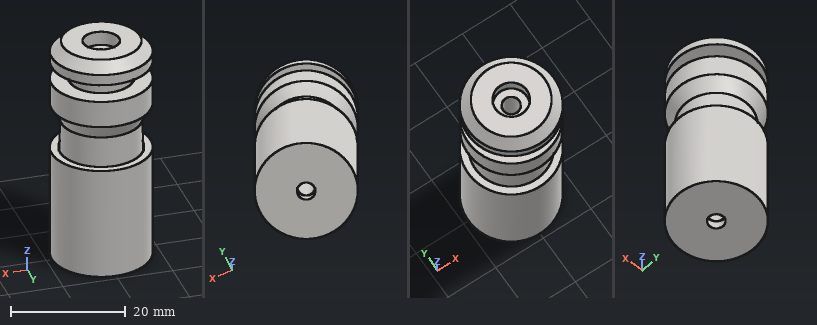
import cadquery as cq

TOTAL_HEIGHT = 42.0
OUTER_DIAMETER = 18.0
OUTER_RADIUS = OUTER_DIAMETER / 2

CUP_HEIGHT = 21.0
CUP_BORE_DIAMETER = 15.0
CUP_FLOOR = 2.0
CUP_HOLE_DIAMETER = 3.2

SLIDER_TUBE_DIAMETER = 14.5
SLIDER_BORE_DIAMETER = 11.5
SLIDER_TOP = 34.7
COLLAR_HEIGHT = 5.0
COLLAR_TAPER_HEIGHT = 3.0
COLLAR_TAPER_HOLLOW = 0.1

STEM_DIAMETER = 11.0
FLANGE_HEIGHT = 4.0
FLANGE_CHAMFER = 1.97
SCREW_HOLE_DIAMETER = 3.3
SCREW_HEAD_DIAMETER = 6.5
SCREW_HEAD_DEPTH = 2.6


def cylinder(diameter, bottom, top):
    """Upright cylinder on the part axis between two heights."""
    return cq.Workplane("XY").workplane(offset=bottom).circle(diameter / 2).extrude(top - bottom)


def make_cup():
    """Sleeve closed by a floor that has a screw hole in its centre."""
    body = cylinder(OUTER_DIAMETER, 0, CUP_HEIGHT)
    bore = cylinder(CUP_BORE_DIAMETER, CUP_FLOOR, CUP_HEIGHT)
    screw_hole = cylinder(CUP_HOLE_DIAMETER, 0, CUP_FLOOR)
    return body.cut(bore).cut(screw_hole)


def make_slider():
    """Tube whose collar narrows to the tube along a slightly hollow taper."""
    bore_radius = SLIDER_BORE_DIAMETER / 2
    tube_radius = SLIDER_TUBE_DIAMETER / 2
    collar_bottom = SLIDER_TOP - COLLAR_HEIGHT
    taper_bottom = collar_bottom - COLLAR_TAPER_HEIGHT
    return (
        cq.Workplane("XZ")
        .moveTo(bore_radius, CUP_FLOOR)
        .lineTo(tube_radius, CUP_FLOOR)
        .lineTo(tube_radius, taper_bottom)
        .sagittaArc((OUTER_RADIUS, collar_bottom), COLLAR_TAPER_HOLLOW)
        .lineTo(OUTER_RADIUS, SLIDER_TOP)
        .lineTo(bore_radius, SLIDER_TOP)
        .close()
        .revolve(360, (0, 0, 0), (0, 1, 0))
    )


def make_stem():
    """Post with a chamfered flange on top and a counterbored screw hole."""
    flange_bottom = TOTAL_HEIGHT - FLANGE_HEIGHT
    flange = cylinder(OUTER_DIAMETER, flange_bottom, TOTAL_HEIGHT).faces(">Z").chamfer(FLANGE_CHAMFER)
    post = cylinder(STEM_DIAMETER, CUP_FLOOR, flange_bottom)
    screw_hole = cylinder(SCREW_HOLE_DIAMETER, CUP_FLOOR, TOTAL_HEIGHT)
    screw_head = cylinder(SCREW_HEAD_DIAMETER, TOTAL_HEIGHT - SCREW_HEAD_DEPTH, TOTAL_HEIGHT)
    return flange.union(post).cut(screw_hole).cut(screw_head)


cup = make_cup()
slider = make_slider()
stem = make_stem()

result = cq.Compound.makeCompound([cup.val(), slider.val(), stem.val()])